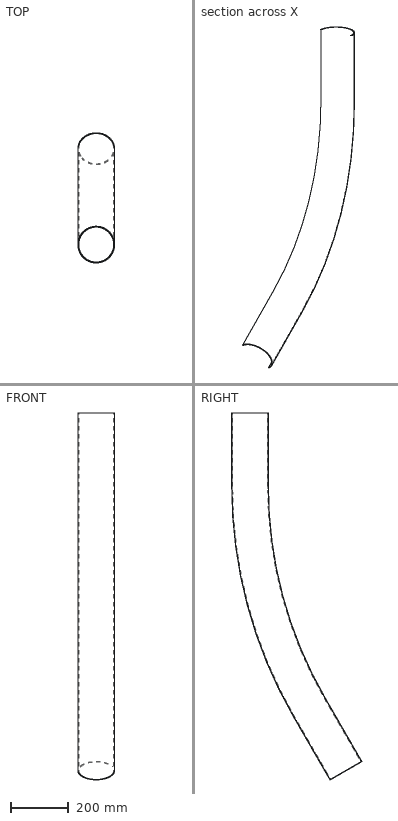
import cadquery as cq
import math

outer_diameter = 127.0
inner_diameter = 120.9
bend_radius = 1524.0
bend_angle = 30.0
tangent_length = 254.0


def point_on_bend(angle):
    """Centreline point (Y, Z) after turning by angle degrees from the upper end of the bend."""
    turn = math.radians(angle)
    return (bend_radius * (1 - math.cos(turn)), -bend_radius * math.sin(turn))


def centreline():
    """Path in the YZ plane: straight down, curving toward +Y, then straight again."""
    bend_end = point_on_bend(bend_angle)
    final_turn = math.radians(bend_angle)
    lower_end = (
        bend_end[0] + tangent_length * math.sin(final_turn),
        bend_end[1] - tangent_length * math.cos(final_turn),
    )
    return (
        cq.Workplane("YZ")
        .moveTo(0, tangent_length)
        .lineTo(0, 0)
        .threePointArc(point_on_bend(bend_angle / 2), bend_end)
        .lineTo(*lower_end)
    )


def bent_tube():
    """Annular section at the upper end swept along the centreline."""
    return (
        cq.Workplane("XY", origin=(0, 0, tangent_length))
        .circle(outer_diameter / 2)
        .circle(inner_diameter / 2)
        .sweep(centreline())
    )


result = bent_tube()